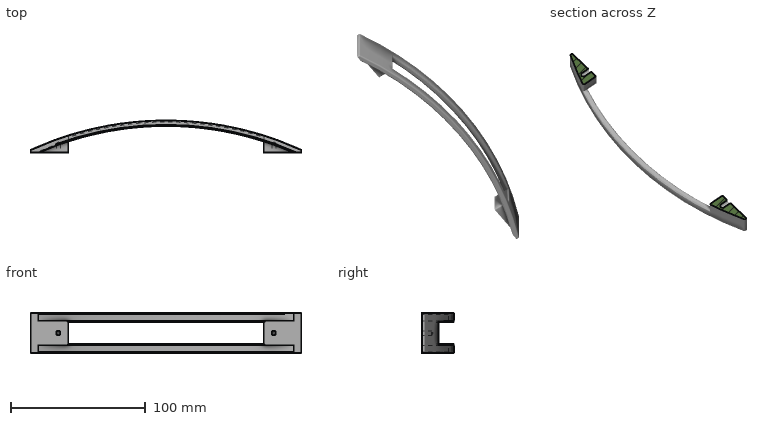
import cadquery as cq
import math

length = 201.0
height = 24.0
width = 30.0
tip_height = 2.0
bar_thickness = 4.2
edge_radius = 1.0

window_length = 145.0
rail_width = 7.0
rail_lap = 2.0

hole_spacing = 160.0
hole_diameter = 3.3
hole_depth = 7.0
drill_point_angle = 118.0

half_length = length / 2
outer_rise = height - tip_height
outer_radius = (half_length**2 + outer_rise**2) / (2 * outer_rise)
half_window = window_length / 2
window_width = width - 2 * rail_width
pad_width = window_width + 2 * edge_radius
arc_center_y = height - outer_radius
inner_radius = outer_radius - bar_thickness
middle_radius = outer_radius - bar_thickness / 2


def arc_y(radius, x):
    """Y of a bow arc of the given radius at position x."""
    return arc_center_y + math.sqrt(radius**2 - x**2)


def arc_half_span(radius):
    """Distance from the middle to where a bow arc meets the mounting plane y = 0."""
    return math.sqrt(radius**2 - arc_center_y**2)


def make_bow():
    """Curved bar with flat feet and rounded outside edges, without its window."""
    foot_x = arc_half_span(inner_radius)
    bow = (
        cq.Workplane("XY")
        .moveTo(-half_length, 0)
        .lineTo(-half_length, tip_height)
        .threePointArc((0, height), (half_length, tip_height))
        .lineTo(half_length, 0)
        .lineTo(foot_x, 0)
        .threePointArc((0, height - bar_thickness), (-foot_x, 0))
        .close()
        .extrude(width / 2, both=True)
    )
    bow = bow.faces("<X or >X").edges("|Y").fillet(edge_radius)
    tip_edges = bow.faces("<X or >X").edges("|Z and >Y")
    above_feet = cq.selectors.BoxSelector((-length, edge_radius / 2, -width), (length, height, width))
    bow_edges = bow.edges("%CIRCLE or %BSPLINE").edges(above_feet)
    return bow_edges.add(tip_edges).fillet(edge_radius)


def make_rails(bow):
    """The two rails beside the window, rounded along it and lapping onto the bow ends."""
    rail_length = window_length + 2 * rail_lap
    stretch = cq.Workplane("XY").box(rail_length, 2 * height, 2 * width)
    gap = cq.Workplane("XY").box(length, 2 * height, window_width)
    rails = bow.intersect(stretch).cut(gap)
    beside_gap = cq.selectors.BoxSelector((-length, 0, -pad_width / 2), (length, height, pad_width / 2))
    return rails.edges("%CIRCLE").edges(beside_gap).fillet(edge_radius)


def make_bow_ends(bow):
    """The solid parts of the bow beyond the window, rounded where the window stops."""
    middle = cq.Workplane("XY").box(window_length, 2 * height, 2 * width)
    ends = bow.cut(middle)
    window_stops = ends.faces(cq.selectors.BoxSelector(
        (-half_window - edge_radius, 0, -width), (half_window + edge_radius, height, width)
    ))
    return window_stops.edges("|Z and >Y").fillet(edge_radius)


def make_pad():
    """Mounting pad at the +X end, filling the space under the bow."""
    pad_end_x = arc_half_span(inner_radius)
    arc_middle_x = (half_window + pad_end_x) / 2
    pad = (
        cq.Workplane("XY")
        .moveTo(half_window, 0)
        .lineTo(half_window, arc_y(middle_radius, half_window))
        .threePointArc(
            (arc_middle_x, arc_y(middle_radius, arc_middle_x)),
            (pad_end_x, arc_y(middle_radius, pad_end_x)),
        )
        .lineTo(pad_end_x, 0)
        .close()
        .extrude(pad_width / 2, both=True)
    )
    return pad.faces("<X").edges("|Y").fillet(edge_radius)


def make_screw_hole():
    """Blind drilled hole with a conical bottom, entering the +X pad from y = 0."""
    hole_radius = hole_diameter / 2
    point_length = hole_radius / math.tan(math.radians(drill_point_angle / 2))
    hole_x = hole_spacing / 2
    return (
        cq.Workplane("XY")
        .moveTo(hole_x, 0)
        .lineTo(hole_x + hole_radius, 0)
        .lineTo(hole_x + hole_radius, hole_depth)
        .lineTo(hole_x, hole_depth + point_length)
        .close()
        .revolve(360, (hole_x, 0, 0), (hole_x, 1, 0))
    )


def both_ends(feature):
    """The feature together with its mirror image at the -X end."""
    return feature.union(feature.mirror("YZ"))


bow = make_bow()
handle = make_rails(bow).union(make_bow_ends(bow)).union(both_ends(make_pad()))
result = handle.cut(both_ends(make_screw_hole()))